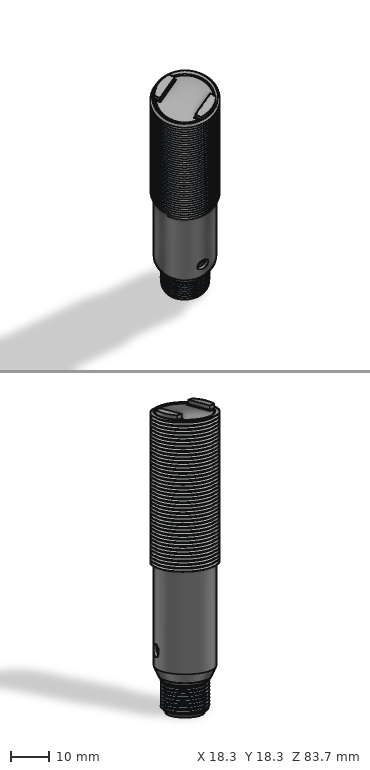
import cadquery as cq

total_height = 83.7
rim_height = 82.5

barrel_turns = 41
barrel_thread_length = 41.0
thread_pitch = barrel_thread_length / barrel_turns
root_overlap = 0.1

body_radius = 8.3
barrel_crest_radius = 18.3 / 2
barrel_ridge_width = 0.9
barrel_thread_start = 40.9

nose_radius = 5.2
nose_height = 1.0
connector_radius = 5.8
connector_crest_radius = 6.45
connector_ridge_width = 0.7
connector_thread_start = 0.5
connector_turns = 9
entry_radius = 5.95
collar_radius = 6.5
collar_base = 9.1
cone_base = 10.0
cone_small_radius = 6.95
cone_top = 12.8

recess_depth = 0.25
recess_rim_radius = 7.95
recess_floor_radius = 7.6
tab_radius = 8.1
tab_inner_x = 5.35
tab_width = 7.9
tab_foot_size = 0.25
tab_foot_angle = 45

adjuster_diameter = 3.5
adjuster_depth = 1.0
adjuster_height = 17.75
adjuster_angle = -25.0
slot_width = 0.5
slot_depth = 0.5
indicator_diameter = 1.0
indicator_height = 12.0
indicator_depth = 0.8


def make_core():
    """Revolve the plain body, with the shallow recess in its upper end."""
    recess_floor = rim_height - recess_depth
    outline = [
        (0, 0),
        (nose_radius, 0),
        (nose_radius, nose_height),
        (connector_radius, nose_height),
        (connector_radius, collar_base),
        (collar_radius, collar_base),
        (collar_radius, cone_base),
        (cone_small_radius, cone_base),
        (body_radius, cone_top),
        (body_radius, rim_height),
        (recess_rim_radius, rim_height),
        (recess_floor_radius, recess_floor),
        (0, recess_floor),
    ]
    return cq.Workplane("XZ").polyline(outline).close().revolve(360, (0, 0), (0, 1))


def make_end_face(helices, position):
    """Close one end of a ridge; position is 0 at the start of its helices and 1 at the end."""
    corners = [helix.positionAt(position) for helix in helices]
    return cq.Face.makeFromWires(cq.Wire.makePolygon(corners, close=True))


def make_ridge(core_radius, crest_radius, base_width, start_height, turns):
    """Build a ridge of whole turns, starting on the -Y side, from ruled helical faces."""
    base_radius = core_radius - root_overlap
    profile = [
        (base_radius, -base_width / 2),
        (crest_radius, 0),
        (base_radius, base_width / 2),
    ]
    faces = []
    for turn in range(turns):
        turn_height = start_height + turn * thread_pitch
        helices = [
            cq.Wire.makeHelix(thread_pitch, thread_pitch, radius, cq.Vector(0, 0, turn_height + offset))
            for radius, offset in profile
        ]
        if turn == 0:
            faces.append(make_end_face(helices, 0))
        for lower, upper in zip(helices, helices[1:] + helices[:1]):
            faces.extend(cq.Face.makeRuledSurface(lower, upper).Faces())
    faces.append(make_end_face(helices, 1))
    ridge = cq.Solid.makeSolid(cq.Shell.makeShell(faces))
    return cq.Workplane(obj=ridge.rotate(cq.Vector(0, 0, 0), cq.Vector(0, 0, 1), -90))


def make_barrel_thread():
    """Run the barrel thread out through the rim and trim it flush there."""
    ridge = make_ridge(
        body_radius,
        barrel_crest_radius,
        barrel_ridge_width,
        barrel_thread_start,
        barrel_turns + 1,
    )
    trim_size = 4 * barrel_crest_radius
    trim = cq.Workplane("XY", origin=(0, 0, rim_height)).rect(trim_size, trim_size).extrude(trim_size)
    return ridge.cut(trim)


def make_connector_thread():
    """Make the connector thread and taper its free end."""
    ridge = make_ridge(
        connector_radius,
        connector_crest_radius,
        connector_ridge_width,
        connector_thread_start,
        connector_turns,
    )
    lead_in_height = cone_top
    lead_in = cq.Solid.makeCone(
        entry_radius, entry_radius + lead_in_height, lead_in_height, pnt=cq.Vector(0, 0, nose_height)
    )
    return ridge.intersect(cq.Workplane(obj=lead_in))


def make_tab(side):
    """Make one raised end tab with a sloped foot; side is +1 for +X and -1 for -X."""
    base = rim_height - recess_depth
    height = total_height - base
    length = tab_radius - tab_inner_x
    center_x = tab_inner_x + length / 2
    center = cq.Workplane("XY", origin=(center_x, 0, base))
    block = center.rect(length, tab_width).extrude(height)
    foot = center.rect(length + 2 * tab_foot_size, tab_width + 2 * tab_foot_size).extrude(
        tab_foot_size, taper=tab_foot_angle
    )
    disc = cq.Workplane("XY", origin=(0, 0, base)).circle(tab_radius).extrude(height)
    tab = block.union(foot).intersect(disc)
    return tab if side > 0 else tab.mirror("YZ")


def make_adjuster_hole():
    """Make the blind side hole, with a level driver slot in its floor."""
    floor_radius = body_radius - adjuster_depth
    floor = cq.Workplane("YZ", origin=(floor_radius, 0, adjuster_height))
    hole = floor.circle(adjuster_diameter / 2).extrude(2 * adjuster_depth)
    slot = floor.rect(adjuster_diameter, slot_width).extrude(-slot_depth)
    return hole.union(slot).rotate((0, 0, 0), (0, 0, 1), adjuster_angle)


def make_indicator_hole():
    """Make the small hole drilled toward +X in the -X side of the cone."""
    slope = (body_radius - cone_small_radius) / (cone_top - cone_base)
    surface_radius = cone_small_radius + slope * (indicator_height - cone_base)
    return (
        cq.Workplane("YZ", origin=(indicator_depth - surface_radius, 0, indicator_height))
        .circle(indicator_diameter / 2)
        .extrude(-2 * indicator_depth)
    )


result = make_core().union(make_barrel_thread()).union(make_connector_thread())
for tab_side in (-1, 1):
    result = result.union(make_tab(tab_side))
result = result.cut(make_adjuster_hole()).cut(make_indicator_hole())